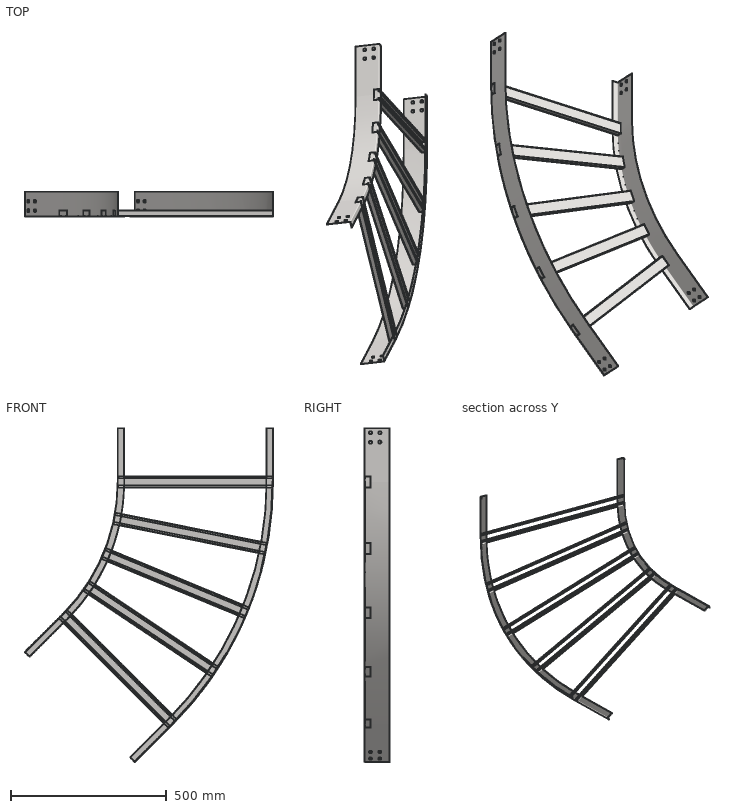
import cadquery as cq
import math

overall_height = 1073.0
bend_angle = 45.0
outer_radius = 1100.0
ladder_width = 500.0
inner_radius = outer_radius - ladder_width

bend_rad = math.radians(bend_angle)
leg_length = (overall_height - outer_radius * math.sin(bend_rad)) / (1 + math.cos(bend_rad))

rail_height = 80.0
flange_width = 21.0
sheet = 1.6
fold_radius = 2.7

rung_count = 5
rung_width = 38.0
rung_depth = 18.0
lip_width = 8.0

hole_diameter = 9.1
hole_pitch = 30.0
holes_per_side = 2
hole_end_offset = 15.0
hole_front_offset = 19.0


def polar(radius, angle):
    """XZ point at a distance from the bend centre, the angle running clockwise from +X."""
    return (radius * math.cos(math.radians(angle)), -radius * math.sin(math.radians(angle)))


def rail_path(radius):
    """Upper leg, bend and lower leg at one radius."""
    bend_end_x, bend_end_z = polar(radius, bend_angle)
    leg_x, leg_z = polar(leg_length, bend_angle + 90)
    return (
        cq.Workplane("XZ")
        .moveTo(radius, leg_length)
        .lineTo(radius, 0)
        .threePointArc(polar(radius, bend_angle / 2), (bend_end_x, bend_end_z))
        .lineTo(bend_end_x + leg_x, bend_end_z + leg_z)
    )


def rail(radius, inward):
    """Rail whose web has its outer face at the radius; the flange points along inward * X."""
    inside_radius = fold_radius - sheet
    section = (
        cq.Workplane("XY", origin=(radius, 0, leg_length))
        .moveTo(0, rail_height)
        .lineTo(0, fold_radius)
        .radiusArc((inward * fold_radius, 0), -inward * fold_radius)
        .lineTo(inward * flange_width, 0)
        .lineTo(inward * flange_width, sheet)
        .lineTo(inward * fold_radius, sheet)
        .radiusArc((inward * sheet, fold_radius), inward * inside_radius)
        .lineTo(inward * sheet, rail_height)
        .close()
    )
    return section.sweep(rail_path(radius))


def rung_bar(front, back, width):
    """Rectangular bar along X, from mid-thickness of one web to that of the other."""
    length = ladder_width - sheet
    return (
        cq.Workplane("YZ", origin=(inner_radius + sheet / 2, 0, 0))
        .center((front + back) / 2, 0)
        .rect(back - front, width)
        .extrude(length)
    )


def rung(angle):
    """Lipped channel standing on the back of the flanges, turned about the bend centre."""
    front = sheet
    back = front + rung_depth
    body = rung_bar(front, back, rung_width)
    hollow = rung_bar(front + sheet, back - sheet, rung_width - 2 * sheet)
    mouth = rung_bar(front, back - sheet, rung_width - 2 * lip_width)
    return body.cut(hollow).cut(mouth).rotate((0, 0, 0), (0, 1, 0), angle)


def upper_hole_cutters():
    """Pins through both webs near the ends of the upper legs."""
    rows = [hole_front_offset + i * hole_pitch for i in range(holes_per_side)]
    stations = [leg_length - hole_end_offset - i * hole_pitch for i in range(holes_per_side)]
    return (
        cq.Workplane("YZ", origin=(inner_radius - flange_width, 0, 0))
        .pushPoints([(y, z) for y in rows for z in stations])
        .circle(hole_diameter / 2)
        .extrude(ladder_width + 2 * flange_width)
    )


result = rail(inner_radius, 1).union(rail(outer_radius, -1))
for index in range(rung_count):
    result = result.union(rung(index * bend_angle / (rung_count - 1)))

upper_holes = upper_hole_cutters()
lower_holes = upper_holes.mirror("XY").rotate((0, 0, 0), (0, 1, 0), bend_angle)
result = result.cut(upper_holes).cut(lower_holes)